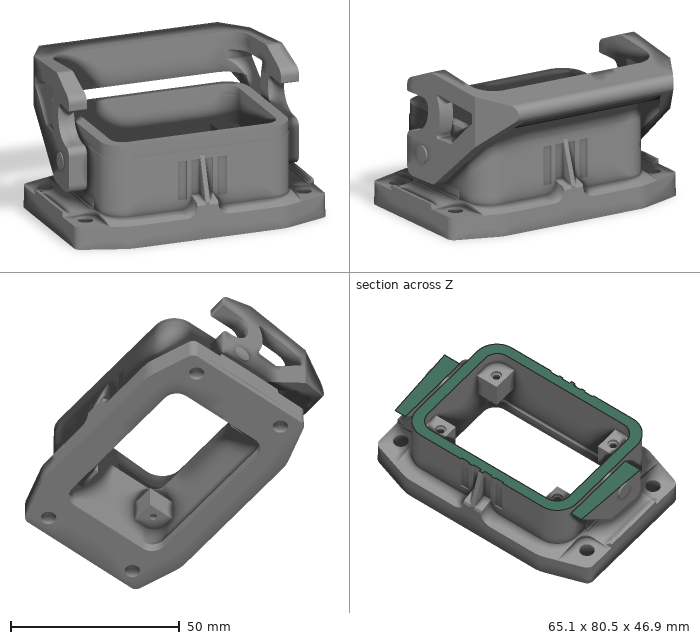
import cadquery as cq
import math

FLANGE_HALF_X = 26.4
FLANGE_HALF_Y = 40.1
SIDE_HALF_Y = 24.9
END_HALF_X = 21.25
SIDE_BEND_RADIUS = 10.7
END_CORNER_RADIUS = 2.5
BASE_CORNER_RADIUS = 2.2
SEAM_Z = 2.1
END_PEAK_Y = 40.25
FLANGE_TOP = 7.0
HOLE_X = 15.9
HOLE_Y = 34.9
HOLE_DIAMETER = 4.6
PAD_X = 11.5
PAD_Y = 30.6
PAD_RADIUS = 3.4

TOWER_HALF_X = 21.9
TOWER_HALF_Y = 30.0
TOWER_RADIUS = 7.3
TOWER_FOOT = 8.4
TOWER_SHOULDER = 26.6
TOWER_TOP = 30.7
RIM_STEP = 0.2

CAVITY_HALF_X = 18.35
CAVITY_HALF_Y = 26.4
CAVITY_RADIUS = 4.5
RIM_CAVITY_RADIUS = 4.0
RIM_CAVITY_FLOOR = 28.0
CAVITY_FLOOR = 3.2
OPENING_HALF_X = 17.5
POST_INNER_X = 9.9
POST_INNER_Y = 19.0
POST_BOTTOM = 11.1
POST_TOP = 19.15
POST_WALL_OVERLAP = 0.8
SCREW_X = 13.45
SCREW_Y = 21.9
SCREW_DIAMETER = 2.2
SCREW_RECESS_DIAMETER = 3.4
SCREW_RECESS_DEPTH = 0.8

PEDESTAL_HALF_Y = 3.4
PEDESTAL_FLARE = 3.4
PEDESTAL_TOP = 12.6
PEDESTAL_EDGE = 11.4
BEVEL_FOOT = 10.6
BEVEL_WIDTH = 0.4
RIB_THICKNESS = 1.45
RIB_TOP = 24.8
PANEL_DEPTH = 0.4
PANEL_BOTTOM = 11.5
PANEL_TOP = 23.7
OUTER_PANEL_Y = 6.35
OUTER_PANEL_WIDTH = 2.8

CLIP_HALF_X = 10.95
CLIP_TOP_HALF_X = 10.15
CLIP_TOP = 11.0
CLIP_ROOT = 4.0
LIP_INNER_Y = 39.3
LIP_STEPS = ((38.9, 8.05), (38.15, 7.65))
LIP_TOP = 8.5
CLIP_SHELF_Y = 31.2
CLIP_SHELF_TOP = 8.6
CLIP_WEDGE_Y = 30.5
CLIP_WEDGE_FOOT = 9.1

PIVOT_Z = 20.6
PIVOT_DIAMETER = 5.2
PIVOT_END_Y = 36.7
ARM_INNER_Y = 31.0
ARM_TIP_X = 7.5
ARM_TIP_Y = 36.8
SHOULDER_X = -25.85
SHOULDER_Y = 34.5
NOSE_X = -39.45
NOSE_HALF_Y = 26.9
NOSE_CORNER_X = -42.75
NOSE_CORNER_Z = 43.4
NOSE_RADIUS = 2.7
HEEL_X = -5.55
HEEL_RADIUS = 2.4
TOE_RADIUS = 2.8
LEVER_BOTTOM = 12.4
CREST_X = -3.95
CREST_Z = 47.0
CREST_RADIUS = 3.2
HOOK_ROOT_X = -2.7
HOOK_TOP = 38.3
HOOK_BOTTOM = 26.65
HOOK_RADIUS = 7.65
HOOK_LIP_RADIUS = 2.5
HOOK_ROOF_RADIUS = 2.7
BEAK_TOP = 42.35
BEAK_LOWER_RADIUS = 0.5
BEAK_UPPER_RADIUS = 2.9
BRIDGE_INNER_X = -25.1
BRIDGE_RADIUS = 7.25
BRIDGE_RECESS_X = -36.55
BRIDGE_RECESS_Z = 38.3
BRIDGE_RECESS_HALF_Y = 24.2
BRIDGE_LOW_Z = 32.5
WINDOW_LEFT_X = -24.5
WINDOW_LEFT_TOP = 39.45
WINDOW_LEFT_BOTTOM = 36.4
WINDOW_SILL_X = -14.0
WINDOW_SILL_Z = 27.2
WINDOW_RIGHT_TOP = 42.1
WINDOW_ROUND = 0.7
WEB_RADIUS = 13.45

BIG = 48.3


def rounded_outline(plane, corners):
    """Closed outline on a plane from (u, v, radius) corners; radius 0 stays sharp."""
    sketch = None
    count = len(corners)
    for i in range(count):
        u, v, radius = corners[i]
        before = cq.Vector(corners[i - 1][0] - u, corners[i - 1][1] - v).normalized()
        after_u, after_v, _ = corners[(i + 1) % count]
        after = cq.Vector(after_u - u, after_v - v).normalized()
        corner = cq.Vector(u, v)
        half_angle = before.getAngle(after) / 2
        tangent = radius / math.tan(half_angle)
        middle_distance = radius / math.sin(half_angle) - radius
        start = corner + before * tangent
        end = corner + after * tangent
        middle = corner + (before + after).normalized() * middle_distance
        if sketch is None:
            sketch = cq.Workplane(plane).moveTo(start.x, start.y)
        else:
            sketch = sketch.lineTo(start.x, start.y)
        if radius > 0:
            sketch = sketch.threePointArc((middle.x, middle.y), (end.x, end.y))
    return sketch.close()


def block(x0, x1, y0, y1, z0, z1):
    """Box between two opposite corners."""
    return cq.Workplane("XY").box(x1 - x0, y1 - y0, z1 - z0, centered=False).translate((x0, y0, z0))


def rounded_block(half_x, half_y, radius, z0, z1):
    """Centred box with rounded upright edges."""
    return block(-half_x, half_x, -half_y, half_y, z0, z1).edges("|Z").fillet(radius)


def mirrored_quadrants(points):
    """Complete a first-quadrant run of points into a counterclockwise closed loop."""
    left = [(-p[0], p[1]) + p[2:] for p in reversed(points)]
    lower = [(-p[0], -p[1]) + p[2:] for p in points]
    right = [(p[0], -p[1]) + p[2:] for p in reversed(points)]
    return points + left + lower + right


def on_both_ends(solid):
    return solid.union(solid.mirror("XZ"))


def on_both_sides(solid):
    return solid.union(solid.mirror("YZ"))


def flange_outline(end_peak_y, corner_radius):
    """Flange outline whose end edges reach end_peak_y at their middle."""
    right_top = [
        (FLANGE_HALF_X, SIDE_HALF_Y, SIDE_BEND_RADIUS),
        (END_HALF_X, FLANGE_HALF_Y, corner_radius),
    ]
    corners = mirrored_quadrants(right_top)
    if end_peak_y > FLANGE_HALF_Y:
        corners.insert(len(right_top), (0, end_peak_y, 0))
        corners.insert(-len(right_top), (0, -end_peak_y, 0))
    return rounded_outline("XY", corners)


def make_flange():
    """Plate with a deck that slopes up to the tower, and four flat pads with holes."""
    base = flange_outline(FLANGE_HALF_Y, BASE_CORNER_RADIUS).extrude(SEAM_Z)
    plate = flange_outline(END_PEAK_Y, END_CORNER_RADIUS).extrude(TOWER_FOOT)
    plate = plate.cut(block(-BIG, BIG, -BIG, BIG, 0, SEAM_Z))

    slope_foot = mirrored_quadrants([(FLANGE_HALF_X, SIDE_HALF_Y), (END_HALF_X, FLANGE_HALF_Y)])
    foot = cq.Workplane("XY").polyline(slope_foot).close().wires().val()
    tower_corners = mirrored_quadrants([(TOWER_HALF_X, TOWER_HALF_Y, TOWER_RADIUS)])
    head = rounded_outline("XY", tower_corners).wires().val()
    sections = [foot.translate((0, 0, FLANGE_TOP)), head.translate((0, 0, TOWER_FOOT))]
    deck = cq.Workplane(cq.Solid.makeLoft(sections, True)).intersect(plate)
    plate = plate.cut(block(-BIG, BIG, -BIG, BIG, FLANGE_TOP, BIG))

    pad = block(PAD_X, BIG, PAD_Y, BIG, FLANGE_TOP, BIG)
    pad = on_both_sides(on_both_ends(pad.edges("|Z and <X and <Y").fillet(PAD_RADIUS)))
    holes = (
        cq.Workplane("XY").rect(2 * HOLE_X, 2 * HOLE_Y, forConstruction=True).vertices()
        .circle(HOLE_DIAMETER / 2).extrude(FLANGE_TOP)
    )
    return base.union(plate).union(deck.cut(pad)).cut(holes)


def make_tower():
    """Rounded rectangular tower, stepped in slightly at its rim."""
    body = rounded_block(TOWER_HALF_X, TOWER_HALF_Y, TOWER_RADIUS, 0, TOWER_SHOULDER)
    rim = rounded_block(
        TOWER_HALF_X - RIM_STEP, TOWER_HALF_Y - RIM_STEP, TOWER_RADIUS - RIM_STEP, 0, TOWER_TOP
    )
    return body.union(rim)


def make_cavity():
    """Hollow of the tower and the narrower opening through the flange."""
    hollow = rounded_block(CAVITY_HALF_X, CAVITY_HALF_Y, CAVITY_RADIUS, CAVITY_FLOOR, TOWER_TOP)
    rim = rounded_block(CAVITY_HALF_X, CAVITY_HALF_Y, RIM_CAVITY_RADIUS, RIM_CAVITY_FLOOR, TOWER_TOP)
    opening = block(-OPENING_HALF_X, OPENING_HALF_X, -CAVITY_HALF_Y, CAVITY_HALF_Y, 0, CAVITY_FLOOR)
    return hollow.union(rim).union(opening.edges("|Z").fillet(CAVITY_RADIUS))


def make_posts():
    """Corner blocks inside the cavity, each with a recessed screw hole."""
    post = block(
        POST_INNER_X, CAVITY_HALF_X + POST_WALL_OVERLAP,
        POST_INNER_Y, CAVITY_HALF_Y + POST_WALL_OVERLAP,
        POST_BOTTOM, POST_TOP,
    )
    post = (
        post.faces(">Z").workplane(origin=(SCREW_X, SCREW_Y, POST_TOP))
        .cboreHole(SCREW_DIAMETER, SCREW_RECESS_DIAMETER, SCREW_RECESS_DEPTH)
    )
    return on_both_sides(on_both_ends(post))


def make_panels():
    """Shallow rectangular recesses in the side walls."""
    panels = None
    for y, half_width in (
        (0, PEDESTAL_HALF_Y),
        (OUTER_PANEL_Y, OUTER_PANEL_WIDTH / 2),
        (-OUTER_PANEL_Y, OUTER_PANEL_WIDTH / 2),
    ):
        panel = block(
            TOWER_HALF_X - PANEL_DEPTH, TOWER_HALF_X,
            y - half_width, y + half_width,
            PANEL_BOTTOM, PANEL_TOP,
        )
        panels = panel if panels is None else panels.union(panel)
    return on_both_sides(panels)


def pedestal_section(x, foot_z):
    """Upright section at x, flaring out with concave arcs to its foot."""
    flare_z = foot_z + PEDESTAL_FLARE
    half_foot = PEDESTAL_HALF_Y + PEDESTAL_FLARE
    arc_inset = PEDESTAL_FLARE * math.sqrt(0.5)
    arc_y = half_foot - arc_inset
    arc_z = flare_z - arc_inset
    return (
        cq.Workplane("YZ", origin=(x, 0, 0))
        .moveTo(-half_foot, 0).lineTo(half_foot, 0).lineTo(half_foot, foot_z)
        .threePointArc((arc_y, arc_z), (PEDESTAL_HALF_Y, flare_z))
        .lineTo(PEDESTAL_HALF_Y, BIG).lineTo(-PEDESTAL_HALF_Y, BIG)
        .lineTo(-PEDESTAL_HALF_Y, flare_z)
        .threePointArc((-arc_y, arc_z), (-half_foot, foot_z))
        .close().wires().val()
    )


def make_side_supports():
    """Flared pedestal with a bevelled, sloping top and a triangular rib, on both sides."""
    inner_x = TOWER_HALF_X - PANEL_DEPTH
    sections = [pedestal_section(TOWER_HALF_X, TOWER_FOOT), pedestal_section(FLANGE_HALF_X, FLANGE_TOP)]
    flared = cq.Workplane(cq.Solid.makeLoft(sections, True))
    bevel_x = FLANGE_HALF_X - BEVEL_WIDTH
    top_profile = [
        (TOWER_HALF_X, FLANGE_TOP / 2), (FLANGE_HALF_X, FLANGE_TOP / 2), (FLANGE_HALF_X, BEVEL_FOOT),
        (bevel_x, PEDESTAL_EDGE), (TOWER_HALF_X, PEDESTAL_TOP),
    ]
    envelope = cq.Workplane("XZ").polyline(top_profile).close().extrude(BIG, both=True)
    pedestal = flared.intersect(envelope)
    root = block(
        inner_x, TOWER_HALF_X, -PEDESTAL_HALF_Y, PEDESTAL_HALF_Y, PANEL_BOTTOM, PEDESTAL_TOP
    )
    rib = (
        cq.Workplane("XZ")
        .polyline([
            (inner_x, TOWER_FOOT), (bevel_x, TOWER_FOOT), (FLANGE_HALF_X, BEVEL_FOOT),
            (FLANGE_HALF_X, PEDESTAL_EDGE), (TOWER_HALF_X, RIB_TOP), (inner_x, RIB_TOP),
        ]).close()
        .extrude(RIB_THICKNESS / 2, both=True)
    )
    return on_both_sides(pedestal.union(root).union(rib))


def make_clips():
    """Outer lip and inner wedge along the middle of both ends."""
    front = [
        (-CLIP_HALF_X, 0), (CLIP_HALF_X, 0), (CLIP_HALF_X, FLANGE_TOP),
        (CLIP_TOP_HALF_X, CLIP_TOP), (-CLIP_TOP_HALF_X, CLIP_TOP), (-CLIP_HALF_X, FLANGE_TOP),
    ]
    envelope = cq.Workplane("XZ").polyline(front).close().extrude(BIG, both=True)
    lip_side_y = END_PEAK_Y - (END_PEAK_Y - FLANGE_HALF_Y) * CLIP_HALF_X / END_HALF_X
    lip_plan = [
        (-CLIP_HALF_X, LIP_INNER_Y), (CLIP_HALF_X, LIP_INNER_Y), (CLIP_HALF_X, lip_side_y),
        (0, END_PEAK_Y), (-CLIP_HALF_X, lip_side_y),
    ]
    lip = (
        cq.Workplane("XY", origin=(0, 0, CLIP_ROOT)).polyline(lip_plan).close()
        .extrude(LIP_TOP - CLIP_ROOT)
    )
    for step_y, step_top in LIP_STEPS:
        lip = lip.union(
            block(-CLIP_HALF_X, CLIP_HALF_X, step_y, LIP_INNER_Y, CLIP_ROOT, step_top)
        )
    wall_y = TOWER_HALF_Y - RIM_STEP
    wedge_section = [
        (wall_y, CLIP_ROOT), (CLIP_SHELF_Y, CLIP_ROOT), (CLIP_SHELF_Y, CLIP_SHELF_TOP),
        (CLIP_WEDGE_Y, CLIP_SHELF_TOP), (CLIP_WEDGE_Y, CLIP_WEDGE_FOOT),
        (TOWER_HALF_Y, CLIP_TOP), (wall_y, CLIP_TOP),
    ]
    wedge = cq.Workplane("YZ").polyline(wedge_section).close().extrude(CLIP_HALF_X, both=True)
    return on_both_ends(lip.union(wedge).intersect(envelope))


def make_window():
    """Arm opening between the bridge and a web concentric with the hook throat."""
    throat_x = HOOK_ROOT_X + HOOK_RADIUS
    throat_z = HOOK_BOTTOM + HOOK_RADIUS
    outline = [
        (WINDOW_LEFT_X, WINDOW_LEFT_TOP),
        (WINDOW_LEFT_X, WINDOW_LEFT_BOTTOM),
        (WINDOW_SILL_X, WINDOW_SILL_Z),
        (throat_x, WINDOW_SILL_Z),
        (throat_x, WINDOW_RIGHT_TOP),
    ]
    opening = cq.Workplane("XZ").polyline(outline).close().extrude(BIG, both=True)
    web = (
        cq.Workplane("XZ").center(throat_x, throat_z).circle(WEB_RADIUS).extrude(BIG, both=True)
    )
    return opening.cut(web).edges("|Y").fillet(WINDOW_ROUND)


def make_lever():
    """Locking lever: two hooked arms joined by a bridge, turning on pivot pins."""
    profile = [
        (NOSE_CORNER_X, NOSE_CORNER_Z, NOSE_RADIUS),
        (HEEL_X, LEVER_BOTTOM, HEEL_RADIUS),
        (ARM_TIP_X, LEVER_BOTTOM, TOE_RADIUS),
        (ARM_TIP_X, HOOK_BOTTOM, HOOK_LIP_RADIUS),
        (HOOK_ROOT_X, HOOK_BOTTOM, HOOK_RADIUS),
        (HOOK_ROOT_X, HOOK_TOP, HOOK_ROOF_RADIUS),
        (ARM_TIP_X, HOOK_TOP, BEAK_LOWER_RADIUS),
        (ARM_TIP_X, BEAK_TOP, BEAK_UPPER_RADIUS),
        (CREST_X, CREST_Z, CREST_RADIUS),
    ]
    lever = rounded_outline("XZ", profile).extrude(BIG, both=True)

    plan = [
        (ARM_TIP_X, ARM_TIP_Y), (SHOULDER_X, SHOULDER_Y), (NOSE_X, NOSE_HALF_Y),
        (NOSE_X, -NOSE_HALF_Y), (SHOULDER_X, -SHOULDER_Y), (ARM_TIP_X, -ARM_TIP_Y),
    ]
    lever = lever.intersect(cq.Workplane("XY").polyline(plan).close().extrude(BIG))

    gap = block(BRIDGE_INNER_X, BIG, -ARM_INNER_Y, ARM_INNER_Y, 0, BIG)
    gap = gap.edges("|Z and <X").fillet(BRIDGE_RADIUS)

    recess_profile = [
        (BRIDGE_RECESS_X, BRIDGE_RECESS_Z), (BRIDGE_INNER_X, BRIDGE_LOW_Z),
        (0, BRIDGE_LOW_Z), (0, 0), (BRIDGE_RECESS_X, 0),
    ]
    recess_plan = [
        (BRIDGE_RECESS_X, -BRIDGE_RECESS_HALF_Y), (BRIDGE_INNER_X, -ARM_INNER_Y),
        (0, -ARM_INNER_Y), (0, ARM_INNER_Y),
        (BRIDGE_INNER_X, ARM_INNER_Y), (BRIDGE_RECESS_X, BRIDGE_RECESS_HALF_Y),
    ]
    recess = cq.Workplane("XZ").polyline(recess_profile).close().extrude(BIG, both=True)
    recess = recess.intersect(cq.Workplane("XY").polyline(recess_plan).close().extrude(BIG))

    lever = lever.cut(gap).cut(recess).cut(make_window())
    pin_start = TOWER_HALF_Y - RIM_STEP
    pin = (
        cq.Workplane("XZ", origin=(0, -pin_start, PIVOT_Z)).circle(PIVOT_DIAMETER / 2)
        .extrude(PIVOT_END_Y - pin_start)
    )
    return lever.union(on_both_ends(pin))


result = (
    make_flange()
    .union(make_tower())
    .cut(make_cavity())
    .cut(make_panels())
    .union(make_posts())
    .union(make_side_supports())
    .union(make_clips())
    .union(make_lever())
)